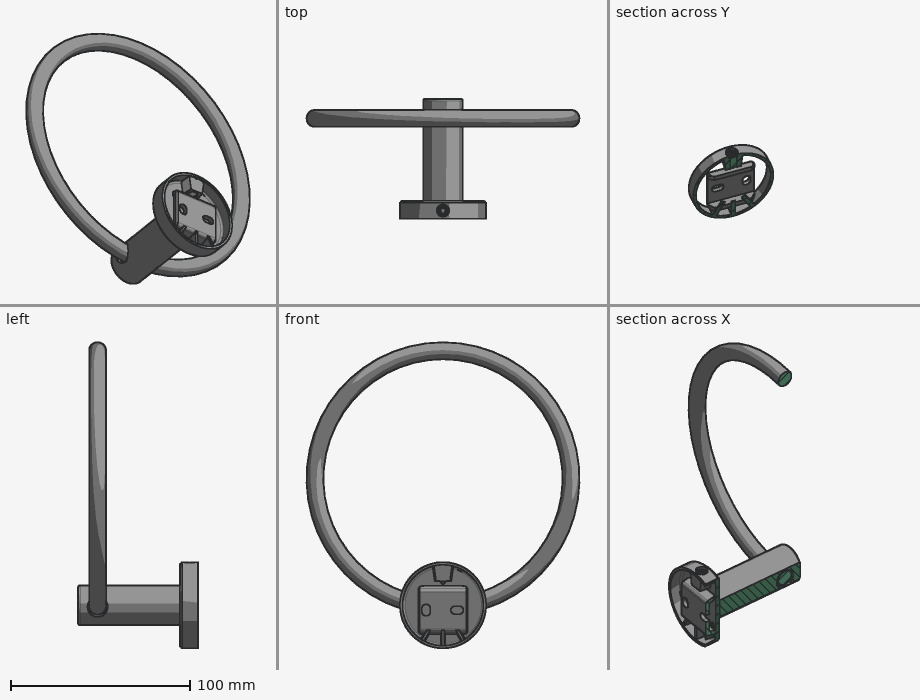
import cadquery as cq
import math


overall_height = 170.8

rose_radius = 24.0
rose_depth = 10.0
rose_wall = 1.5
rose_floor_thickness = 2.9
rose_edge_radius = 1.2
cavity_radius = rose_radius - rose_wall
embedded_radius = cavity_radius + rose_wall / 2
cavity_depth = rose_depth - rose_floor_thickness
inset_depth = 0.5

rib_front_width = 1.5
rib_base_width = 2.5
rib_inner_radius = 12.0
rib_angles = (-30, 0, 30)

boss_bottom_z = 13.5
boss_bottom_width = 7.7
boss_top_width = 10.5
boss_draft_angle = 7

screw_y = 4.6
screw_radius = 2.9
screw_top_z = 22.2
screw_tip_z = 11.5
screw_cone_height = 3.0
socket_width = 2.7
socket_depth = 2.5
socket_mouth_radius = 2.0
socket_mouth_depth = 0.5
screw_recess_radius = 3.5

post_radius = 11.1
post_end_y = 67.0
post_edge_radius = 1.2

ring_outer_radius = 76.2
tube_radius = 4.8
ring_y = 56.0
ring_path_radius = ring_outer_radius - tube_radius
ring_center_z = overall_height - rose_radius - ring_outer_radius
ring_bottom_z = ring_center_z - ring_path_radius

counterbore_radius = 5.6
counterbore_floor_x = 7.7

bracket_width = 27.7
bracket_front_y = 0.3
bracket_back_y = 6.8
bracket_center_z = -2.7
bracket_flange_span = 27.2
bracket_thickness = 2.7
flange_flare_angle = 14
bend_radius = 2.0
bracket_edge_chamfer = 0.9
flange_corner_chamfer = 2.7

upright_slot_x = -9.4
upright_slot_length = 6.5
upright_slot_width = 4.8
level_slot_x = 7.9
level_slot_length = 7.0
level_slot_width = 4.5


def xz_plane(y):
    """Work plane at the given Y, with local axes -X and Z and its normal along +Y."""
    return cq.Workplane(cq.Plane(origin=(0, y, 0), xDir=(-1, 0, 0), normal=(0, 1, 0)))


def disc(radius, start_y, end_y):
    return xz_plane(start_y).circle(radius).extrude(end_y - start_y)


def make_ring():
    torus = cq.Solid.makeTorus(
        ring_path_radius, tube_radius, cq.Vector(0, ring_y, ring_center_z), cq.Vector(0, 1, 0)
    )
    return cq.Workplane(torus)


def make_post(ring):
    post = disc(post_radius, rose_depth, post_end_y).faces(">Y").edges().fillet(post_edge_radius)
    for side in (-1, 1):
        counterbore = (
            cq.Workplane("YZ", origin=(side * counterbore_floor_x, 0, 0))
            .center(ring_y, ring_bottom_z)
            .circle(counterbore_radius)
            .extrude(side * post_radius)
        )
        post = post.cut(counterbore)
    return post.cut(ring)


def bracket_envelope():
    """Solid block with the outer shape of the bracket."""
    half_span = bracket_flange_span / 2
    flange_depth = bracket_back_y - bracket_front_y
    half_front = half_span - flange_depth * math.tan(math.radians(flange_flare_angle))
    return (
        cq.Workplane("YZ", origin=(-bracket_width / 2, 0, bracket_center_z))
        .moveTo(bracket_front_y, -half_front)
        .lineTo(bracket_front_y, half_front)
        .lineTo(bracket_back_y, half_span)
        .lineTo(bracket_back_y, -half_span)
        .close()
        .extrude(bracket_width)
        .edges("<Y and |X")
        .fillet(bend_radius)
    )


def bracket_hollow():
    """Space between the flanges, open toward the rose floor and at both sides."""
    half_span = bracket_flange_span / 2
    flare = math.radians(flange_flare_angle)
    flange_shift = bracket_thickness / math.cos(flare)
    inner_y = bracket_front_y + bracket_thickness
    inner_half_span = half_span - flange_shift
    inner_half_front = inner_half_span - (bracket_back_y - inner_y) * math.tan(flare)
    return (
        cq.Workplane("YZ", origin=(-bracket_width / 2, 0, bracket_center_z))
        .moveTo(inner_y, -inner_half_front)
        .lineTo(inner_y, inner_half_front)
        .lineTo(bracket_back_y, inner_half_span)
        .lineTo(bracket_back_y, -inner_half_span)
        .close()
        .extrude(bracket_width)
    )


def flange_corner_outline():
    """Block as wide as the bracket, narrowed toward the rose floor to clip the flange corners."""
    half_width = bracket_width / 2
    return (
        cq.Workplane("XY", origin=(0, 0, bracket_center_z))
        .moveTo(-half_width, 0)
        .lineTo(half_width, 0)
        .lineTo(half_width, bracket_back_y - flange_corner_chamfer)
        .lineTo(half_width - flange_corner_chamfer, bracket_back_y)
        .lineTo(-half_width + flange_corner_chamfer, bracket_back_y)
        .lineTo(-half_width, bracket_back_y - flange_corner_chamfer)
        .close()
        .extrude(bracket_flange_span, both=True)
    )


def slot_cutter(x, length, width, angle):
    return (
        xz_plane(0)
        .center(-x, bracket_center_z)
        .slot2D(length, width, angle)
        .extrude(bracket_front_y + bracket_thickness)
    )


def make_bracket():
    block = bracket_envelope()
    for side in ("<X", ">X"):
        front_edges = block.faces(side).edges("not(>Y)")
        block = block.newObject(front_edges.vals()).chamfer(bracket_edge_chamfer)
    bracket = block.cut(bracket_hollow()).intersect(flange_corner_outline())
    bracket = bracket.cut(slot_cutter(upright_slot_x, upright_slot_length, upright_slot_width, 90))
    return bracket.cut(slot_cutter(level_slot_x, level_slot_length, level_slot_width, 0))


def make_set_screw():
    cone_base_z = screw_tip_z + screw_cone_height
    body = (
        cq.Workplane("XZ", origin=(0, screw_y, 0))
        .moveTo(0, screw_tip_z)
        .lineTo(screw_radius, cone_base_z)
        .lineTo(screw_radius, screw_top_z)
        .lineTo(0, screw_top_z)
        .close()
        .revolve(360, (0, 0, 0), (0, 1, 0))
    )
    socket = (
        cq.Workplane("XY", origin=(0, screw_y, screw_top_z - socket_depth))
        .polygon(6, socket_width / math.cos(math.pi / 6))
        .extrude(socket_depth)
    )
    socket_mouth = cq.Solid.makeCone(
        socket_width / 2,
        socket_mouth_radius,
        socket_mouth_depth,
        cq.Vector(0, screw_y, screw_top_z - socket_mouth_depth),
    )
    return body.cut(socket).cut(cq.Workplane(socket_mouth))


def make_rib(angle):
    """Radial rib, wider at the rose floor, turned about the post axis from straight down."""
    return (
        cq.Workplane("XY", origin=(0, 0, -embedded_radius))
        .moveTo(-rib_front_width / 2, inset_depth)
        .lineTo(rib_front_width / 2, inset_depth)
        .lineTo(rib_base_width / 2, cavity_depth)
        .lineTo(-rib_base_width / 2, cavity_depth)
        .close()
        .extrude(embedded_radius - rib_inner_radius)
        .rotate((0, 0, 0), (0, 1, 0), angle)
    )


def make_boss():
    """Screw boss, narrower toward the rose axis and drafted wider toward the rose floor."""
    drafted_block = (
        xz_plane(inset_depth)
        .moveTo(-boss_bottom_width / 2, boss_bottom_z)
        .lineTo(boss_bottom_width / 2, boss_bottom_z)
        .lineTo(boss_top_width / 2, embedded_radius)
        .lineTo(-boss_top_width / 2, embedded_radius)
        .close()
        .extrude(cavity_depth - inset_depth, taper=-boss_draft_angle)
    )
    space_above_bottom = cq.Workplane("XY", origin=(0, 0, boss_bottom_z)).box(
        2 * cavity_radius, 2 * rose_depth, cavity_radius, centered=(True, True, False)
    )
    inside_rim = disc(embedded_radius, 0, rose_depth)
    return drafted_block.intersect(space_above_bottom).intersect(inside_rim)


def screw_hole():
    """Hole that fits the screw, opening into a wider recess above it."""
    fitted_hole = (
        cq.Workplane("XY", origin=(0, screw_y, boss_bottom_z))
        .circle(screw_radius)
        .extrude(screw_top_z - boss_bottom_z)
    )
    recess = (
        cq.Workplane("XY", origin=(0, screw_y, screw_top_z))
        .circle(screw_recess_radius)
        .extrude(rose_radius - screw_top_z)
    )
    return fitted_hole.union(recess)


def make_rose():
    shell = disc(rose_radius, 0, rose_depth).faces(">Y").edges().chamfer(rose_edge_radius)
    cavity = disc(cavity_radius, 0, cavity_depth).faces(">Y").edges().fillet(rose_edge_radius)
    rose = shell.cut(cavity)
    for angle in rib_angles:
        rose = rose.union(make_rib(angle).cut(bracket_envelope()))
    return rose.union(make_boss()).cut(screw_hole())


ring = make_ring()
post = make_post(ring)
bracket = make_bracket()
set_screw = make_set_screw()
rose = make_rose()

result = cq.Compound.makeCompound(
    [ring.val(), post.val(), rose.val(), bracket.val(), set_screw.val()]
)